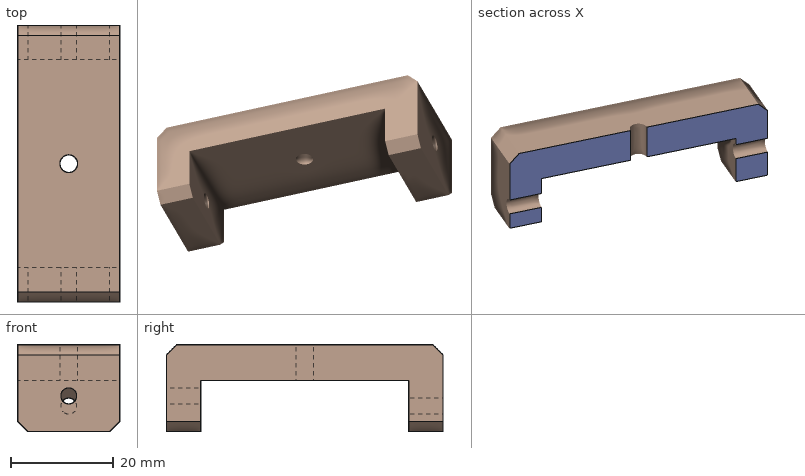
import cadquery as cq

width = 20.0
length = 54.0
height = 17.0

bridge_thickness = 7.0
leg_thickness = 6.7
chamfer = 2.0

bridge_hole_diameter = 3.4
leg_hole_diameter = 3.1
front_hole_height = 7.0
rear_hole_height = 5.0

gap_length = length - 2 * leg_thickness
gap_height = height - bridge_thickness


def bracket_body():
    """U-shaped bracket standing on two legs, centred on X and Y with its feet at Z = 0."""
    block = cq.Workplane("XY").box(width, length, height, centered=(True, True, False))
    block = block.faces(">Z").edges("|X").chamfer(chamfer)
    block = block.faces("<Z").edges("|Y").chamfer(chamfer)
    gap = cq.Workplane("XY").box(width, gap_length, gap_height, centered=(True, True, False))
    return block.cut(gap)


def bridge_hole():
    """Vertical hole through the middle of the bridge."""
    return (
        cq.Workplane("XY")
        .workplane(offset=gap_height)
        .circle(bridge_hole_diameter / 2)
        .extrude(bridge_thickness)
    )


def leg_hole(outward, hole_height):
    """Hole along Y through one leg, from the gap out to the end face (outward is -1 or +1)."""
    start = cq.Vector(0, outward * gap_length / 2, hole_height)
    direction = cq.Vector(0, outward, 0)
    return cq.Solid.makeCylinder(leg_hole_diameter / 2, leg_thickness, start, direction)


result = (
    bracket_body()
    .cut(bridge_hole())
    .cut(leg_hole(-1, front_hole_height))
    .cut(leg_hole(1, rear_hole_height))
)